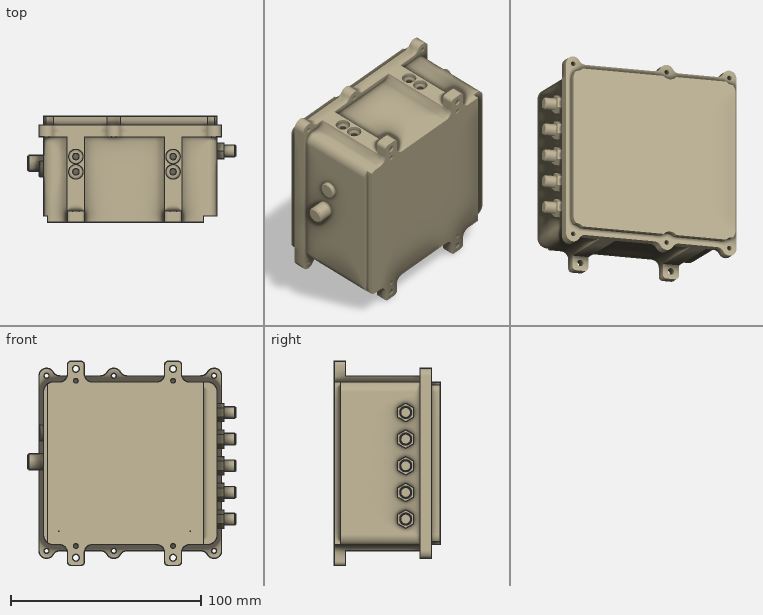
import cadquery as cq
import math


DEPTH = 55.8
FLANGE_FRONT = 45.0
FLANGE_BACK = 51.2
TAB_THICKNESS = 6.0
STEP_DEPTH = 3.35

BODY_WIDTH = 91.1
BODY_HEIGHT = 85.4
BODY_CORNER_RADIUS = 5.0
STEP_LEFT_X = -43.55
STEP_RIGHT_X = 38.45

FLANGE_WIDTH = 96.0
FLANGE_HEIGHT = 92.0
EAR_RADIUS = 4.0
EAR_BLEND_RADIUS = 4.0
EAR_HOLE_DIAMETER = 2.5
EAR_HEAD_CLEARANCE_RADIUS = 4.85
MIDDLE_EAR_X = -8.7
CORNER_EAR_X = FLANGE_WIDTH / 2 - EAR_RADIUS
EAR_Z = FLANGE_HEIGHT / 2

TAB_CENTRES_X = (-28.6, 22.45)
TAB_WIDTH = 9.0
TAB_SPAN = 107.4
TAB_CORNER_RADIUS = 2.0
TAB_ROOT_RADIUS = 4.1
TAB_HOLE_DIAMETER = 3.45
TAB_HOLE_Z = 49.6
TAPPED_HOLE_DIAMETER = 2.5
TAPPED_HOLE_Z = 43.4
TAPPED_HOLE_DEPTH = 6.0
DRILL_POINT_ANGLE = 118.0

COUNTERBORE_DIAMETER = 7.6
COUNTERBORE_DEPTH = 2.2
COLUMN_HOLE_DIAMETER = 3.45
COLUMN_HOLE_DEPTH = 5.0
COLUMN_HOLES_Y = (26.6, 34.6)

PINHOLE_DIAMETER = 0.3
PINHOLE_DEPTH = 1.0
PINHOLE_SPACING = 69.2
PINHOLE_Z = -35.7

COAX_COUNT = 5
COAX_PITCH = 14.0
COAX_MIDDLE_Z = -1.3
COAX_Y = 37.6
COAX_NUT_FLATS = 8.4
COAX_NUT_LENGTH = 3.7
COAX_BARREL_DIAMETER = 6.25
COAX_TIP_X = 55.45
COAX_CHAMFER_RADIAL = 0.5
COAX_CHAMFER_AXIAL = 0.7

PLUG_DIAMETER = 8.6
PLUG_Y = 31.1
PLUG_Z = 0.8
PLUG_TIP_X = -53.95
PLUG_CHAMFER = 0.8
VENT_DIAMETER = 8.4
VENT_Y = 28.1
VENT_Z = 15.9
VENT_TIP_X = -47.9
VENT_CHAMFER = 0.4

SIDES = (-1, 1)
EAR_POINTS = [
    (x, side * EAR_Z)
    for x in (-CORNER_EAR_X, MIDDLE_EAR_X, CORNER_EAR_X)
    for side in SIDES
]


def slab(width, height, y_start, y_end):
    """Block centred on x = 0, z = 0 between two depths."""
    length = y_end - y_start
    return cq.Workplane("XY").box(width, length, height).translate((0, y_start + length / 2, 0))


def rod_y(x, z, radius, y_start, y_end):
    """Cylinder along Y between two depths."""
    return cq.Workplane(cq.Solid.makeCylinder(
        radius, y_end - y_start, cq.Vector(x, y_start, z), cq.Vector(0, 1, 0)))


def corner_fillet(x, z, x_dir, z_dir, radius, y_start, y_end):
    """Concave corner filler between a horizontal and a vertical face meeting at (x, z)."""
    block = (
        cq.Workplane("XY")
        .box(radius, y_end - y_start, radius)
        .translate((x + x_dir * radius / 2, (y_start + y_end) / 2, z + z_dir * radius / 2))
    )
    return block.cut(rod_y(x + x_dir * radius, z + z_dir * radius, radius, y_start, y_end))


def make_body():
    """Rounded body with four full-depth columns that end in mounting tabs at the front."""
    body = slab(BODY_WIDTH, BODY_HEIGHT, 0, FLANGE_FRONT).edges("|Y").fillet(BODY_CORNER_RADIUS)
    for x in TAB_CENTRES_X:
        column = slab(TAB_WIDTH, TAB_SPAN, 0, FLANGE_FRONT).edges("|Y").fillet(TAB_CORNER_RADIUS)
        body = body.union(column.translate((x, 0, 0)))
        for x_dir in SIDES:
            for z_dir in SIDES:
                body = body.union(corner_fillet(
                    x + x_dir * TAB_WIDTH / 2, z_dir * BODY_HEIGHT / 2,
                    x_dir, z_dir, TAB_ROOT_RADIUS, 0, FLANGE_FRONT))
    behind_tabs = slab(FLANGE_WIDTH, FLANGE_HEIGHT, TAB_THICKNESS, FLANGE_FRONT)
    front_layer = slab(FLANGE_WIDTH, TAB_SPAN, 0, TAB_THICKNESS)
    return body.intersect(front_layer.union(behind_tabs))


def cut_front_steps(body):
    """Lower the front face along its left and right margins."""
    raised_width = STEP_RIGHT_X - STEP_LEFT_X
    raised = slab(raised_width, TAB_SPAN, 0, STEP_DEPTH)
    raised = raised.translate(((STEP_LEFT_X + STEP_RIGHT_X) / 2, 0, 0))
    return body.cut(slab(FLANGE_WIDTH, TAB_SPAN, 0, STEP_DEPTH).cut(raised))


def ear_blend(x, z_dir, x_dir):
    """Filler that blends one flank of an ear into the straight flange edge."""
    reach = math.sqrt((EAR_RADIUS + EAR_BLEND_RADIUS) ** 2 - EAR_BLEND_RADIUS ** 2)
    blend_z = EAR_Z + EAR_BLEND_RADIUS
    contact = EAR_RADIUS / (EAR_RADIUS + EAR_BLEND_RADIUS)
    contact_height = contact * EAR_BLEND_RADIUS
    depth = FLANGE_BACK - FLANGE_FRONT
    filler = (
        cq.Workplane("XY")
        .box(reach, depth, contact_height)
        .translate((x + x_dir * reach / 2, FLANGE_FRONT + depth / 2, z_dir * (EAR_Z + contact_height / 2)))
    )
    return filler.cut(rod_y(
        x + x_dir * reach, z_dir * blend_z, EAR_BLEND_RADIUS, FLANGE_FRONT, FLANGE_BACK))


def make_flange():
    """Rectangular flange with a screw ear at each corner and one along each long edge."""
    flange = slab(FLANGE_WIDTH, FLANGE_HEIGHT, FLANGE_FRONT, FLANGE_BACK)
    for x, z in EAR_POINTS:
        flange = flange.union(rod_y(x, z, EAR_RADIUS, FLANGE_FRONT, FLANGE_BACK))
        for x_dir in SIDES:
            is_outer_flank = abs(x) == CORNER_EAR_X and x * x_dir > 0
            if not is_outer_flank:
                flange = flange.union(ear_blend(x, math.copysign(1, z), x_dir))
    return flange


def make_lid():
    """Raised back panel, relieved around the ear screws."""
    lid = slab(BODY_WIDTH, BODY_HEIGHT, FLANGE_BACK, DEPTH).edges("|Y").fillet(BODY_CORNER_RADIUS)
    for x, z in EAR_POINTS:
        lid = lid.cut(rod_y(x, z, EAR_HEAD_CLEARANCE_RADIUS, FLANGE_BACK, DEPTH))
    return lid


def cut_ear_holes(part):
    for x, z in EAR_POINTS:
        part = part.cut(rod_y(x, z, EAR_HOLE_DIAMETER / 2, FLANGE_FRONT, FLANGE_BACK))
    return part


def cut_tab_holes(part):
    """Clearance hole and drill-pointed blind hole in every tab."""
    blind_radius = TAPPED_HOLE_DIAMETER / 2
    point_length = blind_radius / math.tan(math.radians(DRILL_POINT_ANGLE / 2))
    for x in TAB_CENTRES_X:
        for side in SIDES:
            part = part.cut(rod_y(x, side * TAB_HOLE_Z, TAB_HOLE_DIAMETER / 2, 0, TAB_THICKNESS))
            blind_z = side * TAPPED_HOLE_Z
            part = part.cut(rod_y(x, blind_z, blind_radius, 0, TAPPED_HOLE_DEPTH))
            part = part.cut(cq.Workplane(cq.Solid.makeCone(
                blind_radius, 0, point_length,
                cq.Vector(x, TAPPED_HOLE_DEPTH, blind_z), cq.Vector(0, 1, 0))))
    return part


def cut_pinholes(part):
    centre_x = sum(TAB_CENTRES_X) / len(TAB_CENTRES_X)
    for side in SIDES:
        x = centre_x + side * PINHOLE_SPACING / 2
        part = part.cut(rod_y(x, PINHOLE_Z, PINHOLE_DIAMETER / 2, 0, PINHOLE_DEPTH))
    return part


def cut_column_holes(part):
    """Pairs of counterbored blind holes sunk from the top of each upper column."""
    points = [(x, y) for x in TAB_CENTRES_X for y in COLUMN_HOLES_Y]
    top = cq.Workplane("XY").workplane(offset=FLANGE_HEIGHT / 2).pushPoints(points)
    counterbores = top.circle(COUNTERBORE_DIAMETER / 2).extrude(-COUNTERBORE_DEPTH)
    holes = top.circle(COLUMN_HOLE_DIAMETER / 2).extrude(-COLUMN_HOLE_DEPTH)
    return part.cut(counterbores).cut(holes)


def make_coax_connector(z):
    """Hexagonal nut, one corner up, with a chamfered barrel."""
    wall_x = BODY_WIDTH / 2
    nut_corners = COAX_NUT_FLATS / math.cos(math.pi / 6)
    barrel_length = COAX_TIP_X - wall_x
    side_plane = cq.Workplane("YZ", origin=(wall_x, COAX_Y, z))
    nut = side_plane.transformed(rotate=(0, 0, 90)).polygon(6, nut_corners).extrude(COAX_NUT_LENGTH)
    barrel = side_plane.circle(COAX_BARREL_DIAMETER / 2).extrude(barrel_length)
    barrel = barrel.faces(">X").chamfer(COAX_CHAMFER_AXIAL, COAX_CHAMFER_RADIAL)
    return nut.union(barrel)


def make_left_stud(diameter, y, z, tip_x, chamfer):
    """Chamfered round stud standing on the left wall."""
    length = -BODY_WIDTH / 2 - tip_x
    stud = cq.Workplane("YZ", origin=(tip_x, y, z)).circle(diameter / 2).extrude(length)
    return stud.faces("<X").chamfer(chamfer)


result = cut_front_steps(make_body()).union(make_flange()).union(make_lid())
result = cut_ear_holes(result)
result = cut_tab_holes(result)
result = cut_pinholes(result)
result = cut_column_holes(result)
for index in range(COAX_COUNT):
    offset = (index - (COAX_COUNT - 1) / 2) * COAX_PITCH
    result = result.union(make_coax_connector(COAX_MIDDLE_Z + offset))
result = result.union(make_left_stud(PLUG_DIAMETER, PLUG_Y, PLUG_Z, PLUG_TIP_X, PLUG_CHAMFER))
result = result.union(make_left_stud(VENT_DIAMETER, VENT_Y, VENT_Z, VENT_TIP_X, VENT_CHAMFER))